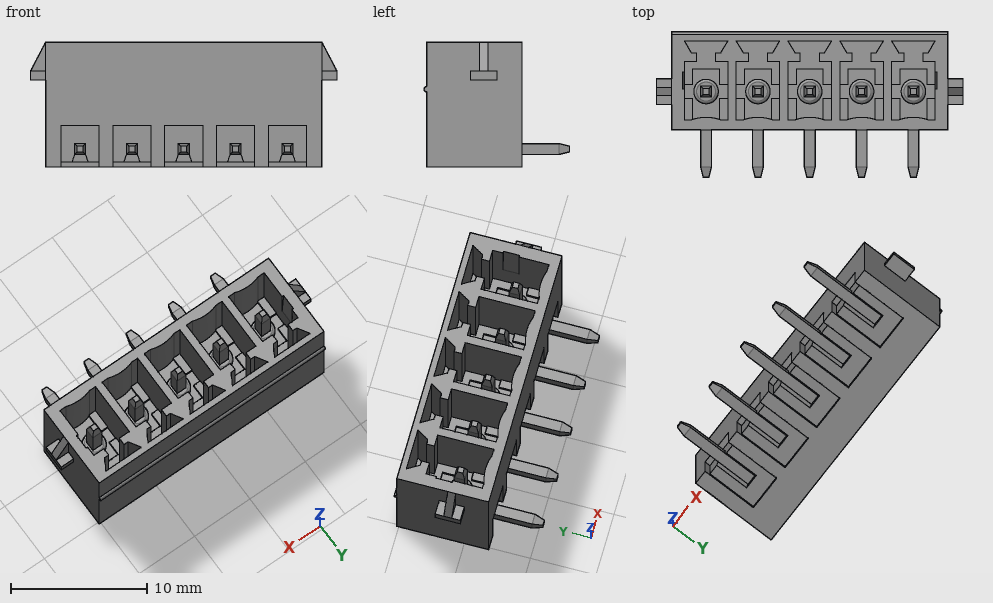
import cadquery as cq

CONTACT_COUNT = 5
CONTACT_PITCH = 3.8
CONTACT_Y = 2.82

HOUSING_LENGTH = 20.3
HOUSING_DEPTH = 7.0
HOUSING_HEIGHT = 9.2
OVERALL_LENGTH = 22.55

SOCKET_HALF_WIDTH = 1.6
SOCKET_FRONT = 0.75
SOCKET_BACK = 5.03
SOCKET_FLOOR = 3.83
BULGE_HALF_WIDTH = 1.05
BULGE_HEIGHT = 0.18
KEY_NECK_HALF_WIDTH = 0.7
KEY_NARROW_HALF_WIDTH = 1.05
KEY_NARROW_Y = 5.64
KEY_BACK = 6.54

FLOOR_RECESS_DEPTH = 0.23
FLOOR_RECESS_HALF_WIDTH = 1.0
FLOOR_RECESS_BACK = 4.49
CROSS_GROOVE_WIDTH = 1.04
BOSS_DIAMETER = 1.8
BOSS_EDGE_RADIUS = 0.2
BOSS_HEIGHT = 0.45

RELIEF_FRONT = 3.02
RELIEF_BACK = 4.24
RELIEF_DEPTH = 0.14
RELIEF_BOTTOM = 5.97

WINDOW_WIDTH = 2.8
WINDOW_HEIGHT = 3.07
WINDOW_DEPTH = 0.45
UNDERSIDE_RELIEF_HEIGHT = 0.38
SLOT_MOUTH_WIDTH = 1.17

WING_REACH = (OVERALL_LENGTH - HOUSING_LENGTH) / 2
WING_FOOT_BOTTOM = 6.4
WING_FOOT_TOP = 7.05
WING_FOOT_WIDTH = 1.92
WING_FIN_WIDTH = 0.6

RIB_Z = 5.73
RIB_RADIUS = 0.2

WIRE_SIZE = 0.81
WIRE_TIP_SIZE = 0.43
WIRE_TAPER_LENGTH = 0.77
TAIL_Z = 1.33
TAIL_REACH = 3.5
CONTACT_TOP = 7.65

ROW_HALF_LENGTH = (CONTACT_COUNT - 1) * CONTACT_PITCH / 2
CONTACT_XS = [i * CONTACT_PITCH - ROW_HALF_LENGTH for i in range(CONTACT_COUNT)]
RECESS_FLOOR = SOCKET_FLOOR - FLOOR_RECESS_DEPTH


def box(x_range, y_range, z_range):
    """Box that spans the three given (low, high) ranges."""
    size = [high - low for low, high in (x_range, y_range, z_range)]
    corner = (x_range[0], y_range[0], z_range[0])
    return cq.Workplane("XY").box(*size, centered=False).translate(corner)


def around(centre, width):
    """Range of the given width around a centre."""
    return (centre - width / 2, centre + width / 2)


def socket_outline(z):
    """Socket outline around X = 0, with the dovetail key at the back."""
    return (
        cq.Workplane("XY", origin=(0, 0, z))
        .moveTo(-SOCKET_HALF_WIDTH, SOCKET_FRONT)
        .lineTo(-BULGE_HALF_WIDTH, SOCKET_FRONT)
        .threePointArc((0, SOCKET_FRONT + BULGE_HEIGHT), (BULGE_HALF_WIDTH, SOCKET_FRONT))
        .lineTo(SOCKET_HALF_WIDTH, SOCKET_FRONT)
        .lineTo(SOCKET_HALF_WIDTH, SOCKET_BACK)
        .lineTo(KEY_NECK_HALF_WIDTH, SOCKET_BACK)
        .lineTo(KEY_NECK_HALF_WIDTH, KEY_NARROW_Y)
        .lineTo(KEY_NARROW_HALF_WIDTH, KEY_NARROW_Y)
        .lineTo(SOCKET_HALF_WIDTH, KEY_BACK)
        .lineTo(-SOCKET_HALF_WIDTH, KEY_BACK)
        .lineTo(-KEY_NARROW_HALF_WIDTH, KEY_NARROW_Y)
        .lineTo(-KEY_NECK_HALF_WIDTH, KEY_NARROW_Y)
        .lineTo(-KEY_NECK_HALF_WIDTH, SOCKET_BACK)
        .lineTo(-SOCKET_HALF_WIDTH, SOCKET_BACK)
        .close()
    )


def socket_cut():
    """Socket with the cross-shaped recess in its floor, less the boss that stays standing."""
    socket = socket_outline(SOCKET_FLOOR).extrude(HOUSING_HEIGHT - SOCKET_FLOOR)
    recess_z = (RECESS_FLOOR, SOCKET_FLOOR)
    long_arm = box(around(0, 2 * FLOOR_RECESS_HALF_WIDTH), (SOCKET_FRONT, FLOOR_RECESS_BACK), recess_z)
    cross_arm = box(around(0, 2 * SOCKET_HALF_WIDTH), around(CONTACT_Y, CROSS_GROOVE_WIDTH), recess_z)
    recess = socket_outline(RECESS_FLOOR).extrude(FLOOR_RECESS_DEPTH).intersect(long_arm.union(cross_arm))
    boss = (
        cq.Workplane("XY", origin=(0, CONTACT_Y, RECESS_FLOOR))
        .circle(BOSS_DIAMETER / 2)
        .extrude(BOSS_HEIGHT)
        .faces(">Z")
        .fillet(BOSS_EDGE_RADIUS)
    )
    return socket.union(recess).cut(boss)


def tail_exit_cut():
    """Front window, underside relief and the flared slot below the contact tail."""
    window = box(around(0, WINDOW_WIDTH), (0, WINDOW_DEPTH), (0, WINDOW_HEIGHT))
    relief = box(around(0, WINDOW_WIDTH), (0, FLOOR_RECESS_BACK), (0, UNDERSIDE_RELIEF_HEIGHT))
    slot_back = CONTACT_Y + WIRE_SIZE / 2
    slot_top = TAIL_Z - WIRE_SIZE / 2
    slot = (
        cq.Workplane("XZ")
        .polyline([
            (-SLOT_MOUTH_WIDTH / 2, UNDERSIDE_RELIEF_HEIGHT),
            (SLOT_MOUTH_WIDTH / 2, UNDERSIDE_RELIEF_HEIGHT),
            (WIRE_SIZE / 2, slot_top),
            (-WIRE_SIZE / 2, slot_top),
        ])
        .close()
        .extrude(-slot_back)
    )
    return window.union(relief).union(slot)


def end_relief():
    """Wedge in the outer wall of the +X end socket, deepest at the top."""
    wall_x = CONTACT_XS[-1] + SOCKET_HALF_WIDTH
    return (
        cq.Workplane("XZ", origin=(0, RELIEF_FRONT, 0))
        .polyline([
            (wall_x, RELIEF_BOTTOM),
            (wall_x + RELIEF_DEPTH, HOUSING_HEIGHT),
            (wall_x, HOUSING_HEIGHT),
        ])
        .close()
        .extrude(RELIEF_FRONT - RELIEF_BACK)
    )


def wing():
    """Wing on the +X end: a flat foot with a sloping fin above it."""
    root_x = HOUSING_LENGTH / 2
    tip_x = root_x + WING_REACH
    foot = box((root_x, tip_x), around(CONTACT_Y, WING_FOOT_WIDTH), (WING_FOOT_BOTTOM, WING_FOOT_TOP))
    fin = (
        cq.Workplane("XZ", origin=(0, CONTACT_Y, 0))
        .polyline([(root_x, WING_FOOT_TOP), (tip_x, WING_FOOT_TOP), (root_x, HOUSING_HEIGHT)])
        .close()
        .extrude(WING_FIN_WIDTH / 2, both=True)
    )
    return foot.union(fin)


def back_rib():
    """Half-round rib along the whole back face; its hidden half lies inside the back wall."""
    return (
        cq.Workplane("YZ", origin=(0, HOUSING_DEPTH, RIB_Z))
        .circle(RIB_RADIUS)
        .extrude(HOUSING_LENGTH / 2, both=True)
    )


def tapered_leg(plane, length):
    """Square wire that starts at the plane's origin and ends in a tapered tip."""
    straight_length = length - WIRE_TAPER_LENGTH
    straight = cq.Workplane(plane).rect(WIRE_SIZE, WIRE_SIZE).extrude(straight_length)
    tip = (
        cq.Workplane(plane)
        .workplane(offset=straight_length)
        .rect(WIRE_SIZE, WIRE_SIZE)
        .workplane(offset=WIRE_TAPER_LENGTH)
        .rect(WIRE_TIP_SIZE, WIRE_TIP_SIZE)
        .loft(ruled=True)
    )
    return straight.union(tip)


def contact(x):
    """Bent contact: a leg up into the socket and a tail out through the housing front."""
    bend = (x, CONTACT_Y, TAIL_Z)
    corner = box(*[around(centre, WIRE_SIZE) for centre in bend])
    leg = tapered_leg(cq.Plane(bend, xDir=(1, 0, 0), normal=(0, 0, 1)), CONTACT_TOP - TAIL_Z)
    tail = tapered_leg(cq.Plane(bend, xDir=(1, 0, 0), normal=(0, -1, 0)), CONTACT_Y + TAIL_REACH)
    return corner.union(leg).union(tail)


def build_housing(contacts):
    """Housing with a matching passage for every contact."""
    body = box(around(0, HOUSING_LENGTH), (0, HOUSING_DEPTH), (0, HOUSING_HEIGHT)).union(back_rib())
    right_wing = wing()
    body = body.union(right_wing).union(right_wing.mirror("YZ"))
    for x in CONTACT_XS:
        body = body.cut(socket_cut().translate((x, 0, 0)))
        body = body.cut(tail_exit_cut().translate((x, 0, 0)))
    right_relief = end_relief()
    body = body.cut(right_relief).cut(right_relief.mirror("YZ"))
    for pin in contacts:
        body = body.cut(pin)
    return body


contacts = [contact(x) for x in CONTACT_XS]
housing = build_housing(contacts)

result = cq.Compound.makeCompound([housing.val(), *[pin.val() for pin in contacts]])